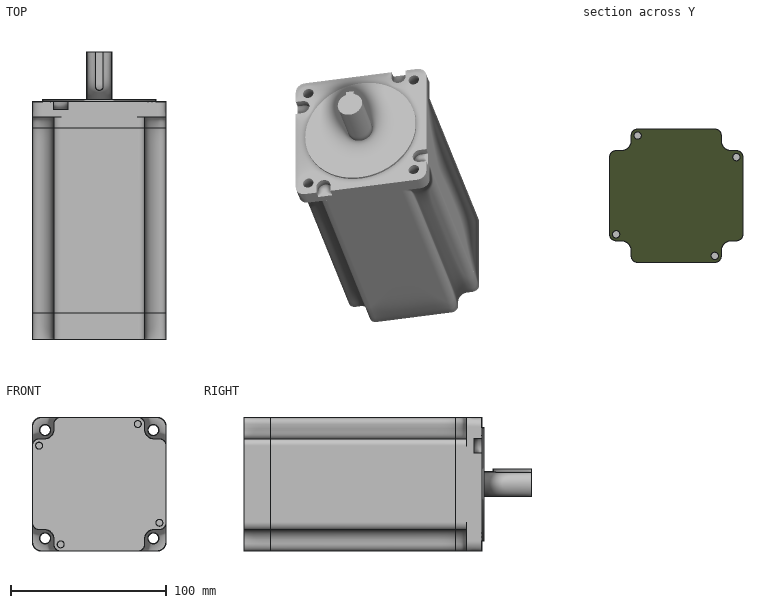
import cadquery as cq

overall_length = 185.0
frame_size = 86.0
half_frame = frame_size / 2

motor_length = 153.0
corner_plate_thickness = 10.0
flange_length = 16.8
rear_cap_length = 17.0
pilot_height = 1.5
shaft_length = overall_length - motor_length
stator_length = motor_length - flange_length - rear_cap_length

recess_depth = 13.9
recess_outer_radius = 4.5
recess_inner_radius = 6.1

plate_corner_radius = 6.1
mounting_hole_offset = 34.8
mounting_hole_diameter = 6.8
pilot_diameter = 72.9

screw_side_offset = 24.8
screw_axis_offset = 38.7
screw_slot_width = 9.2
screw_slot_depth = 5.2
screw_hole_diameter = 4.5
screw_hole_floor = 0.5

shaft_diameter = 16.1
key_width = 5.0
key_length = 24.8
key_top_height = 9.8


def plane_at(y):
    """Plane across the motor axis; local x is X, local y is Z, and extrusion goes to -Y."""
    return cq.Workplane("XZ", origin=(0, y, 0))


def recessed_section(front_y, length):
    """Square prism with rounded recesses along its four corners."""
    section = plane_at(front_y).rect(frame_size, frame_size).extrude(length)
    corner_cutters = (
        plane_at(front_y)
        .rect(frame_size, frame_size, forConstruction=True)
        .vertices()
        .rect(2 * recess_depth, 2 * recess_depth)
        .extrude(length)
        .edges("|Y")
        .fillet(recess_inner_radius)
    )
    section = section.cut(corner_cutters)
    rim = half_frame - recess_outer_radius / 2
    wall = half_frame - recess_depth
    for side in (-1, 1):
        for end in (-1, 1):
            section = round_recess_rim(section, side * wall, end * half_frame)
            section = round_recess_rim(section, side * half_frame, end * wall)
    return section


def round_recess_rim(section, x, z):
    """Round the edge along Y that passes through (x, z)."""
    middle_y = section.val().BoundingBox().center.y
    return section.edges(cq.NearestToPointSelector((x, middle_y, z))).fillet(recess_outer_radius)


def turned(body, quarter):
    """Body turned by a number of quarter turns about the motor axis."""
    return body.rotate((0, 0, 0), (0, 1, 0), 90 * quarter)


def make_flange():
    flange = recessed_section(0, flange_length)
    plate = (
        plane_at(0)
        .rect(frame_size, frame_size)
        .extrude(corner_plate_thickness)
        .edges("|Y")
        .fillet(plate_corner_radius)
    )
    pilot = plane_at(0).circle(pilot_diameter / 2).extrude(-pilot_height)
    flange = flange.union(plate).union(pilot)
    mounting_holes = (
        plane_at(0)
        .rect(2 * mounting_hole_offset, 2 * mounting_hole_offset, forConstruction=True)
        .vertices()
        .circle(mounting_hole_diameter / 2)
        .extrude(corner_plate_thickness)
    )
    flange = flange.cut(mounting_holes)
    slot = screw_slot()
    for quarter in range(4):
        flange = flange.cut(turned(slot, quarter))
    return flange


def screw_slot():
    """Round-bottomed slot in the mounting face that opens through the top side."""
    half_width = screw_slot_width / 2
    left = -screw_side_offset - half_width
    right = -screw_side_offset + half_width
    return (
        plane_at(0)
        .moveTo(left, half_frame)
        .lineTo(left, screw_axis_offset)
        .threePointArc((-screw_side_offset, screw_axis_offset - half_width), (right, screw_axis_offset))
        .lineTo(right, half_frame)
        .close()
        .extrude(screw_slot_depth)
    )


def make_stator():
    return recessed_section(-flange_length, stator_length)


def make_rear_cap():
    front_y = -flange_length - stator_length
    cap = recessed_section(front_y, rear_cap_length)
    screw_hole = (
        plane_at(front_y)
        .center(screw_side_offset, screw_axis_offset)
        .circle(screw_hole_diameter / 2)
        .extrude(rear_cap_length - screw_hole_floor)
    )
    for quarter in range(4):
        cap = cap.cut(turned(screw_hole, quarter))
    return cap


def make_shaft():
    """Round shaft standing on the pilot, with a key along its top up to the free end."""
    shaft = plane_at(pilot_height).circle(shaft_diameter / 2).extrude(pilot_height - shaft_length)
    half_width = key_width / 2
    key_end = shaft_length - key_length
    key = (
        cq.Workplane("XY")
        .moveTo(-half_width, shaft_length)
        .lineTo(-half_width, key_end + half_width)
        .threePointArc((0, key_end), (half_width, key_end + half_width))
        .lineTo(half_width, shaft_length)
        .close()
        .extrude(key_top_height)
    )
    return shaft.union(key)


flange = make_flange()
stator = make_stator()
rear_cap = make_rear_cap()
shaft = make_shaft()

result = cq.Compound.makeCompound([flange.val(), stator.val(), rear_cap.val(), shaft.val()])